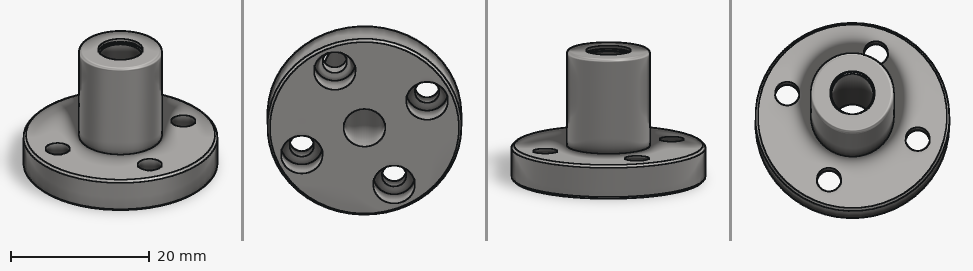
import cadquery as cq

flange_diameter = 28.0
flange_thickness = 5.0
flange_chamfer = 0.35

total_height = 19.0
barrel_diameter = 12.0
barrel_fillet = 0.5

bore_diameter = 6.0
mouth_diameter = 6.4
mouth_depth = 0.5
groove_diameter = 6.8
groove_width = 0.3

hole_diameter = 3.5
hole_circle_diameter = 20.0
hole_count = 4
counterbore_depth = 3.1
counterbore_diameter = 6.0


def cylinder(diameter, bottom, top):
    """Vertical cylinder on the part axis between two heights."""
    return cq.Workplane("XY").workplane(offset=bottom).circle(diameter / 2).extrude(top - bottom)


def make_body():
    flange = cylinder(flange_diameter, 0, flange_thickness).edges().chamfer(flange_chamfer)
    barrel = cylinder(barrel_diameter, 0, total_height).faces(">Z").edges().fillet(barrel_fillet)
    return flange.union(barrel)


def make_bore():
    groove_top = total_height - mouth_depth
    groove_bottom = groove_top - groove_width
    bore = cylinder(bore_diameter, 0, total_height)
    mouth = cylinder(mouth_diameter, groove_top, total_height)
    groove = cylinder(groove_diameter, groove_bottom, groove_top)
    return bore.union(mouth).union(groove)


def hole_pattern(diameter, depth):
    """Ring of equal cylinders rising from the underside of the flange."""
    return (
        cq.Workplane("XY")
        .polarArray(hole_circle_diameter / 2, 0, 360, hole_count)
        .circle(diameter / 2)
        .extrude(depth)
    )


def make_mounting_holes():
    holes = hole_pattern(hole_diameter, flange_thickness)
    counterbores = hole_pattern(counterbore_diameter, counterbore_depth)
    return holes.union(counterbores)


result = make_body().cut(make_bore()).cut(make_mounting_holes())